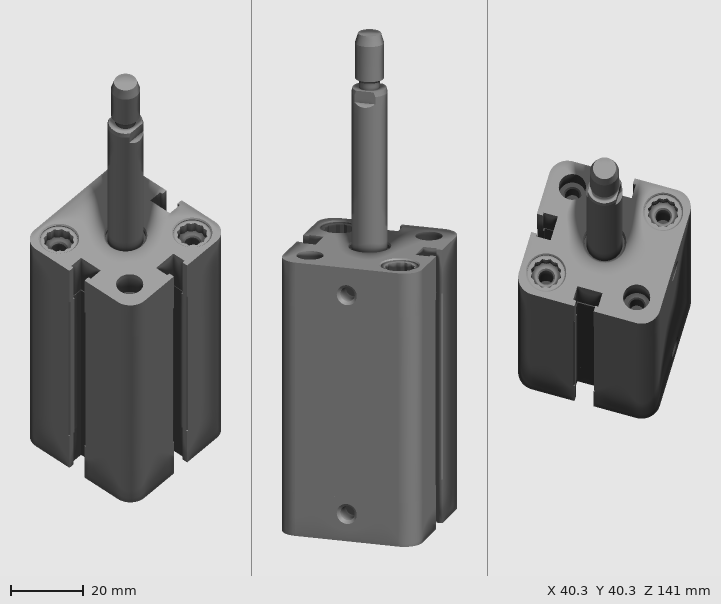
import cadquery as cq
import math


total_height = 141.0
housing_side = 40.3
corner_radius = 5.2
housing_height = 79.2
cap_height = 12.7
barrel_height = housing_height - 2 * cap_height
front_cap_base = housing_height - cap_height

slot_mouth_width = 5.5
cap_slot_inner_width = 7.2
cap_slot_lip = 1.7
cap_slot_depth = 5.8
barrel_slot_inner_width = 6.9
barrel_slot_lip = 2.1
barrel_slot_depth = 5.5
barrel_mouth_chamfer = 0.4
slot_directions = (-90, 0, 90)

fixing_offset = 13.0
tapped_diameter = 4.1
tapped_chamfer_diameter = 5.0
counterbore_diameter = 7.5
counterbore_depth = 7.0
recess_rim_diameter = 11.1
recess_diameter = 10.5
recess_depth = 0.7
socket_across_flats = 7.5
socket_depth = 3.8
socket_hexagon_turns = (0, 30)

port_diameter = 4.1
port_rim_diameter = 5.8
port_depth = 5.6
port_end_distance = 7.9

rod_diameter = 10.0
rod_recess_rim_diameter = 12.0
rod_recess_diameter = 11.1
rod_recess_depth = 1.4
rod_shoulder_diameter = 9.5
rod_shoulder_bevel_length = 1.3
thread_diameter = 8.0
thread_tip_diameter = 6.3
thread_neck_diameter = 5.8
thread_tip_length = 2.8
thread_length = 13.0
thread_runout = 0.8
shoulder_drop = 15.8
flats_width = 8.0
flats_length = 3.4

down = cq.Vector(0, 0, -1)
inward = cq.Vector(1, 0, 0)


def drilled_hole(diameter, depth, entry, direction):
    return cq.Workplane(cq.Solid.makeCylinder(diameter / 2, depth, entry, direction))


def countersink(rim_diameter, hole_diameter, entry, direction):
    """45-degree cone from the rim diameter down to the hole diameter."""
    rim_radius = rim_diameter / 2
    hole_radius = hole_diameter / 2
    depth = rim_radius - hole_radius
    return cq.Workplane(cq.Solid.makeCone(rim_radius, hole_radius, depth, entry, direction))


def cut_bevelled_hole(body, entry, direction, rim_diameter, diameter, depth):
    """Flat-bottomed round hole with a bevelled rim."""
    body = body.cut(drilled_hole(diameter, depth, entry, direction))
    return body.cut(countersink(rim_diameter, diameter, entry, direction))


def t_slot(base, height, inner_width, lip, depth):
    """T-slot cutter in the +X side."""
    face = housing_side / 2
    half_mouth = slot_mouth_width / 2
    half_inner = inner_width / 2
    return (
        cq.Workplane("XY", origin=(0, 0, base))
        .polyline([
            (face, -half_mouth),
            (face - lip, -half_mouth),
            (face - lip, -half_inner),
            (face - depth, -half_inner),
            (face - depth, half_inner),
            (face - lip, half_inner),
            (face - lip, half_mouth),
            (face, half_mouth),
        ])
        .close()
        .extrude(height)
    )


def mouth_bevel(base, height):
    """Cutter that bevels both mouth edges of the T-slot in the +X side."""
    face = housing_side / 2
    half_mouth = slot_mouth_width / 2
    return (
        cq.Workplane("XY", origin=(0, 0, base))
        .polyline([
            (face - barrel_mouth_chamfer, -half_mouth),
            (face, -half_mouth - barrel_mouth_chamfer),
            (face, half_mouth + barrel_mouth_chamfer),
            (face - barrel_mouth_chamfer, half_mouth),
        ])
        .close()
        .extrude(height)
    )


def rounded_block(base, height):
    return (
        cq.Workplane("XY", origin=(0, 0, base))
        .rect(housing_side, housing_side)
        .extrude(height)
        .edges("|Z")
        .fillet(corner_radius)
    )


def cut_on_slot_sides(block, cutter):
    """Cut a +X side cutter into each of the three slotted sides."""
    for angle in slot_directions:
        block = block.cut(cutter.rotate((0, 0, 0), (0, 0, 1), angle))
    return block


def make_cap_block(base):
    slot = t_slot(base, cap_height, cap_slot_inner_width, cap_slot_lip, cap_slot_depth)
    return cut_on_slot_sides(rounded_block(base, cap_height), slot)


def cut_port(cap, port_height):
    entry = cq.Vector(-housing_side / 2, 0, port_height)
    return cut_bevelled_hole(cap, entry, inward, port_rim_diameter, port_diameter, port_depth)


def cut_tapped_hole(cap, x, y, seat_depth):
    """Chamfered tapped hole from a seat below the front face to the barrel."""
    seat = cq.Vector(x, y, housing_height - seat_depth)
    depth = cap_height - seat_depth
    return cut_bevelled_hole(cap, seat, down, tapped_chamfer_diameter, tapped_diameter, depth)


def cut_counterbored_hole(cap, x, y):
    top = cq.Vector(x, y, housing_height)
    cap = cap.cut(drilled_hole(counterbore_diameter, counterbore_depth, top, down))
    return cut_tapped_hole(cap, x, y, counterbore_depth)


def cut_socket_hole(cap, x, y):
    """Bevelled recess, twelve-point socket and tapped hole."""
    top = cq.Vector(x, y, housing_height)
    cap = cut_bevelled_hole(cap, top, down, recess_rim_diameter, recess_diameter, recess_depth)
    hexagon = (
        cq.Workplane("XY")
        .polygon(6, socket_across_flats / math.cos(math.pi / 6))
        .extrude(-socket_depth)
    )
    for turn in socket_hexagon_turns:
        cap = cap.cut(hexagon.rotate((0, 0, 0), (0, 0, 1), turn).translate(top))
    return cut_tapped_hole(cap, x, y, socket_depth)


def make_front_cap():
    cap = make_cap_block(front_cap_base)
    cap = cut_port(cap, housing_height - port_end_distance)
    for x in (-fixing_offset, fixing_offset):
        cap = cut_counterbored_hole(cap, x, -x)
        cap = cut_socket_hole(cap, x, x)
    top = cq.Vector(0, 0, housing_height)
    cap = cap.cut(drilled_hole(rod_diameter, cap_height, top, down))
    return cut_bevelled_hole(
        cap, top, down, rod_recess_rim_diameter, rod_recess_diameter, rod_recess_depth
    )


def make_rear_cap():
    return cut_port(make_cap_block(0), port_end_distance)


def make_barrel():
    slot = t_slot(
        cap_height, barrel_height, barrel_slot_inner_width, barrel_slot_lip, barrel_slot_depth
    )
    barrel = cut_on_slot_sides(rounded_block(cap_height, barrel_height), slot)
    return cut_on_slot_sides(barrel, mouth_bevel(cap_height, barrel_height))


def make_piston_rod():
    """Turned rod standing on the barrel, with a threaded end and two wrench flats."""
    shoulder = total_height - shoulder_drop
    thread_base = total_height - thread_length
    rod = (
        cq.Workplane("XZ")
        .polyline([
            (0, front_cap_base),
            (rod_diameter / 2, front_cap_base),
            (rod_diameter / 2, shoulder - rod_shoulder_bevel_length),
            (rod_shoulder_diameter / 2, shoulder),
            (thread_neck_diameter / 2, shoulder),
            (thread_neck_diameter / 2, thread_base - thread_runout),
            (thread_diameter / 2, thread_base),
            (thread_diameter / 2, total_height - thread_tip_length),
            (thread_tip_diameter / 2, total_height),
            (0, total_height),
        ])
        .close()
        .revolve(360, (0, 0, 0), (0, 1, 0))
    )
    half_flats = flats_width / 2
    rod_radius = rod_diameter / 2
    flat_bottom = shoulder - flats_length
    flat = (
        cq.Workplane("XZ")
        .polyline([
            (half_flats, shoulder),
            (half_flats, flat_bottom),
            (rod_radius, flat_bottom - (rod_radius - half_flats)),
            (rod_radius, shoulder),
        ])
        .close()
        .extrude(rod_radius, both=True)
    )
    return rod.cut(flat).cut(flat.mirror("YZ"))


front_cap = make_front_cap()
rear_cap = make_rear_cap()
barrel = make_barrel()
piston_rod = make_piston_rod()

result = cq.Compound.makeCompound([
    front_cap.val(),
    rear_cap.val(),
    barrel.val(),
    piston_rod.val(),
])